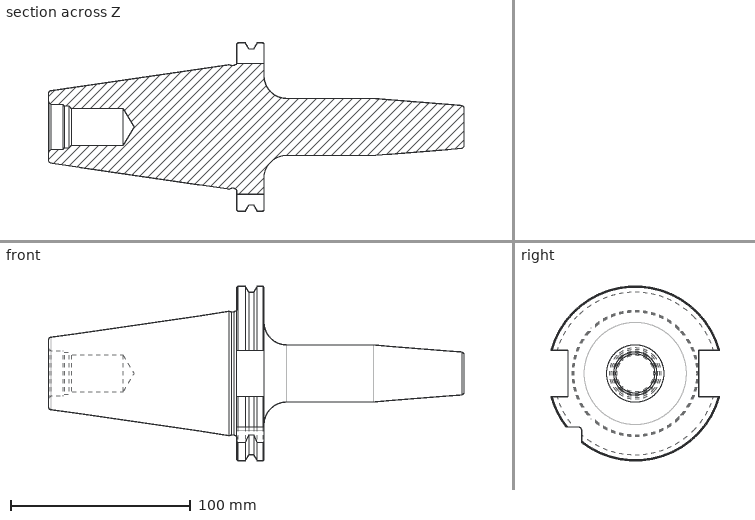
import cadquery as cq
import math

total_length = 231.5
taper_end = 100.7
neck_start = 102.1
neck_end = 103.3
flange_start = 105.0
flange_end = 120.2
nose_cone_start = 181.0

taper_end_radius = 34.7
taper_slope = 7 / 48
small_end_radius = taper_end_radius - taper_end * taper_slope
small_end_round = 1.9
neck_radius = 34.3
neck_flare_radius = 35.2

flange_diameter = 97.5
flange_radius = flange_diameter / 2
flange_chamfer = 0.7
groove_center = 113.0
groove_floor_radius = 45.5
groove_floor_width = 2.8
groove_wall_angle = 30.0

slot_width = 25.7
slot_floor_front = 37.5
slot_floor_back = 35.5
notch_offset = 29.9
notch_corner_round = 1.9

shank_radius = 16.0
shank_fillet = 12.5
nose_tip_radius = 12.0
nose_chamfer = 1.2

bore_mouth_radius = 14.4
bore_lead_radius = 13.5
bore_lead_depth = 0.5
pilot_radius = 12.5
pilot_depth = 8.0
thread_relief_radius = 11.5
thread_relief_depth = 11.5
core_radius = 10.2
core_depth = 41.7
drill_half_angle = 59.0


def revolve_about_x(profile):
    """Revolve a closed (x, radius) profile around the X axis."""
    return profile.close().revolve(360, (0, 0, 0), (1, 0, 0))


def make_body():
    floor_half = groove_floor_width / 2
    wall_run = (flange_radius - groove_floor_radius) * math.tan(math.radians(groove_wall_angle))
    mouth_half = floor_half + wall_run
    arc_center_x = flange_end + shank_fillet
    arc_center_r = shank_radius + shank_fillet
    arc_offset = shank_fillet * math.sqrt(0.5)

    profile = (
        cq.Workplane("XY")
        .lineTo(0, small_end_radius)
        .lineTo(taper_end, taper_end_radius)
        .lineTo(neck_start, neck_radius)
        .lineTo(neck_end, neck_radius)
        .lineTo(flange_start, neck_flare_radius)
        .lineTo(flange_start, flange_radius - flange_chamfer)
        .lineTo(flange_start + flange_chamfer, flange_radius)
        .lineTo(groove_center - mouth_half, flange_radius)
        .lineTo(groove_center - floor_half, groove_floor_radius)
        .lineTo(groove_center + floor_half, groove_floor_radius)
        .lineTo(groove_center + mouth_half, flange_radius)
        .lineTo(flange_end - flange_chamfer, flange_radius)
        .lineTo(flange_end, flange_radius - flange_chamfer)
        .lineTo(flange_end, arc_center_r)
        .threePointArc(
            (arc_center_x - arc_offset, arc_center_r - arc_offset),
            (arc_center_x, shank_radius),
        )
        .lineTo(nose_cone_start, shank_radius)
        .lineTo(total_length - nose_chamfer, nose_tip_radius)
        .lineTo(total_length, nose_tip_radius - nose_chamfer)
        .lineTo(total_length, 0)
    )
    return revolve_about_x(profile).faces("<X").edges().fillet(small_end_round)


def make_bore():
    mouth_depth = bore_lead_depth + bore_lead_radius - pilot_radius
    relief_start = pilot_depth + pilot_radius - thread_relief_radius
    core_start = thread_relief_depth + thread_relief_radius - core_radius
    drill_tip_x = core_depth + core_radius / math.tan(math.radians(drill_half_angle))
    profile = (
        cq.Workplane("XY")
        .lineTo(0, bore_mouth_radius)
        .lineTo(bore_lead_depth, bore_lead_radius)
        .lineTo(mouth_depth, pilot_radius)
        .lineTo(pilot_depth, pilot_radius)
        .lineTo(relief_start, thread_relief_radius)
        .lineTo(thread_relief_depth, thread_relief_radius)
        .lineTo(core_start, core_radius)
        .lineTo(core_depth, core_radius)
        .lineTo(drill_tip_x, 0)
    )
    return revolve_about_x(profile)


def make_drive_slot(side, floor_distance):
    """Slot across the flange rim; side is +1 for +Y and -1 for -Y."""
    flange_width = flange_end - flange_start
    depth = flange_radius - floor_distance
    return cq.Workplane("XY").box(flange_width, depth, slot_width).translate(
        ((flange_start + flange_end) / 2, side * (floor_distance + depth / 2), 0)
    )


def make_orientation_notch():
    """Corner cut in the -Y, -Z part of the rim with a rounded inner corner."""
    size = flange_radius - notch_offset
    center = -(notch_offset + size / 2)
    return (
        cq.Workplane("XY")
        .box(flange_end - flange_start, size, size)
        .edges("|X and >Y and >Z")
        .fillet(notch_corner_round)
        .translate(((flange_start + flange_end) / 2, center, center))
    )


result = (
    make_body()
    .cut(make_bore())
    .cut(make_drive_slot(-1, slot_floor_front))
    .cut(make_drive_slot(1, slot_floor_back))
    .cut(make_orientation_notch())
)